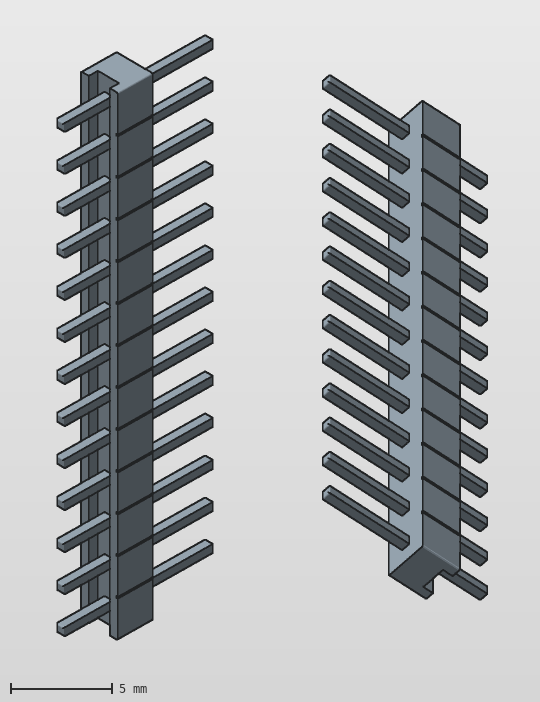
import cadquery as cq

pin_count = 13
row_length = 33.08
end_margin = 0.03
pitch = (row_length - 2 * end_margin) / pin_count

housing_width = 2.6
housing_depth = 2.4
channel_width = 1.5
channel_depth = 0.63
end_radius = 0.105
groove_depth = 0.1
groove_height = 0.1

pin_half_size = 0.275
pin_size = 2 * pin_half_size
pin_length = 10.35
pin_back_length = 5.23
pin_tip_radius = 0.1


def make_housing():
    """Block with rounded side edges at both ends and a channel along the front face."""
    body = cq.Workplane("XY").box(housing_width, housing_depth, row_length)
    body = body.edges("|Y").fillet(end_radius)
    channel = cq.Workplane("XY").box(channel_width, channel_depth, row_length)
    channel = channel.translate((0, (channel_depth - housing_depth) / 2, 0))
    return body.cut(channel).translate((0, -housing_depth / 2, 0))


def make_joint_grooves(joint_z):
    """Square cutters, one in each side face, marking the joint between two segments."""
    groove_x = (housing_width - groove_depth) / 2
    grooves = cq.Workplane("XZ").pushPoints([(groove_x, joint_z), (-groove_x, joint_z)])
    return grooves.rect(groove_depth, groove_height).extrude(housing_depth)


def make_pin(center_z):
    """Square pin along Y with the edges of both tips rounded."""
    pin = cq.Workplane("XY").box(pin_size, pin_length, pin_size)
    pin = pin.faces("<Y or >Y").edges().fillet(pin_tip_radius)
    return pin.translate((0, pin_back_length - pin_length / 2, center_z))


result = make_housing()
for joint in range(1, pin_count):
    result = result.cut(make_joint_grooves((joint - pin_count / 2) * pitch))
for index in range(pin_count):
    result = result.union(make_pin((index - (pin_count - 1) / 2) * pitch))